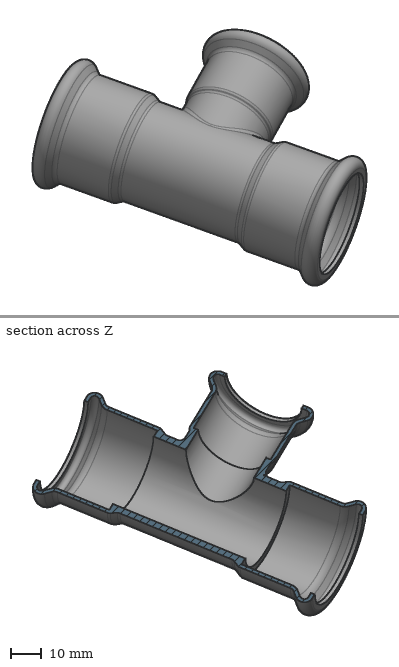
import cadquery as cq
import math

run_length = 102.0
branch_reach = 48.0
root_fillet = 1.8

run_socket_diameter = 38.0
run_socket_bore = 35.1
run_middle_diameter = 34.8
run_bore = 29.8
run_socket_length = 26.7
run_socket_radius = run_socket_diameter / 2
run_middle_radius = run_middle_diameter / 2

branch_socket_radius = 15.5
branch_neck_radius = 14.9
branch_socket_length = 24.1

wall = (run_socket_diameter - run_socket_bore) / 2
tube_wall = (run_middle_diameter - run_bore) / 2

run_lip_diameter = 44.7
lip_height = (run_lip_diameter - run_socket_diameter) / 2
lip_thickness = 5.8
lip_round = lip_thickness / 2
lip_angle = 45
lip_root_round = 2.2

step_angle = 30
step_round = 1.8


def arc_to(profile, center, radius, start_angle, end_angle):
    """Continue the profile with an arc, given in degrees about its center."""
    points = []
    for degrees in ((start_angle + end_angle) / 2, end_angle):
        angle = math.radians(degrees)
        points.append((center[0] + radius * math.cos(angle), center[1] + radius * math.sin(angle)))
    return profile.threePointArc(*points)


def lip_flank_to(profile, socket_radius, offset):
    """Lip crest, sloping flank and root round, set inward from the outer skin by offset."""
    lip_center = (lip_round, socket_radius + lip_height - lip_round)
    slope = math.radians(lip_angle)
    root_rise = lip_root_round * (1 - math.cos(slope))
    flank_start = lip_center[1] + lip_round * math.sin(slope)
    flank_drop = flank_start - socket_radius - root_rise
    root_end = (lip_round + lip_round * math.cos(slope) + flank_drop / math.tan(slope)
                + lip_root_round * math.sin(slope))
    root_center = (root_end, socket_radius + lip_root_round)
    root_radius = lip_root_round + offset

    profile = profile.lineTo(offset, lip_center[1])
    profile = arc_to(profile, lip_center, lip_round - offset, 180, lip_angle)
    flank_end = (
        root_center[0] - root_radius * math.cos(slope),
        root_center[1] - root_radius * math.sin(slope),
    )
    profile = profile.lineTo(*flank_end)
    return arc_to(profile, root_center, root_radius, 180 + lip_angle, 270)


def step_to(profile, start, socket_radius, tube_radius):
    """Rounded conical step from the socket to the narrower tube."""
    slope = math.radians(step_angle)
    tangent = step_round * math.tan(slope / 2)
    length = (socket_radius - tube_radius) / math.tan(slope) + 2 * tangent
    end_center = (start + length, tube_radius + step_round)
    cone_end = (
        end_center[0] - step_round * math.sin(slope),
        end_center[1] - step_round * math.cos(slope),
    )
    profile = profile.lineTo(start, socket_radius)
    profile = arc_to(profile, (start, socket_radius - step_round), step_round, 90, 90 - step_angle)
    profile = profile.lineTo(*cone_end)
    return arc_to(profile, end_center, step_round, 270 - step_angle, 270)


def revolve_about_axis(profile):
    return profile.close().revolve(360, (0, 0, 0), (1, 0, 0))


def arm_body(plane, socket_radius, socket_length, tube_radius, arm_length):
    """Solid outer shape of one arm, from its mouth to the center of the tee."""
    profile = lip_flank_to(cq.Workplane(plane).moveTo(0, 0), socket_radius, 0)
    profile = step_to(profile, socket_length, socket_radius, tube_radius)
    return revolve_about_axis(profile.lineTo(arm_length, tube_radius).lineTo(arm_length, 0))


def arm_cavity(plane, socket_radius, socket_length, tube_radius, arm_length):
    """Hollow of one arm: seal groove, pipe socket with a flat stop, and bore."""
    inner_radius = socket_radius - wall
    bore_radius = tube_radius - tube_wall
    profile = cq.Workplane(plane).lineTo(0, inner_radius).lineTo(wall, inner_radius)
    profile = lip_flank_to(profile, socket_radius, wall)
    profile = profile.lineTo(socket_length, inner_radius).lineTo(socket_length, bore_radius)
    return revolve_about_axis(profile.lineTo(arm_length, bore_radius).lineTo(arm_length, 0))


half_run = run_length / 2
left_plane = cq.Plane(origin=(-half_run, 0, 0), xDir=(1, 0, 0), normal=(0, 0, 1))
right_plane = cq.Plane(origin=(half_run, 0, 0), xDir=(-1, 0, 0), normal=(0, 0, 1))
branch_plane = cq.Plane(origin=(0, branch_reach, 0), xDir=(0, -1, 0), normal=(0, 0, 1))

run_sizes = (run_socket_radius, run_socket_length, run_middle_radius, half_run)
branch_sizes = (branch_socket_radius, branch_socket_length, branch_neck_radius, branch_reach)
arms = (
    (left_plane, run_sizes),
    (right_plane, run_sizes),
    (branch_plane, branch_sizes),
)

run = arm_body(left_plane, *run_sizes).union(arm_body(right_plane, *run_sizes)).clean()
tee = run.union(arm_body(branch_plane, *branch_sizes))

box_margin = 1.0
root_box = cq.selectors.BoxSelector(
    (-branch_neck_radius - box_margin, 0, -run_middle_radius),
    (branch_neck_radius + box_margin, run_middle_radius + box_margin, run_middle_radius),
    boundingbox=True,
)
tee = tee.edges(root_box).fillet(root_fillet)

for arm_plane, sizes in arms:
    tee = tee.cut(arm_cavity(arm_plane, *sizes))

result = tee